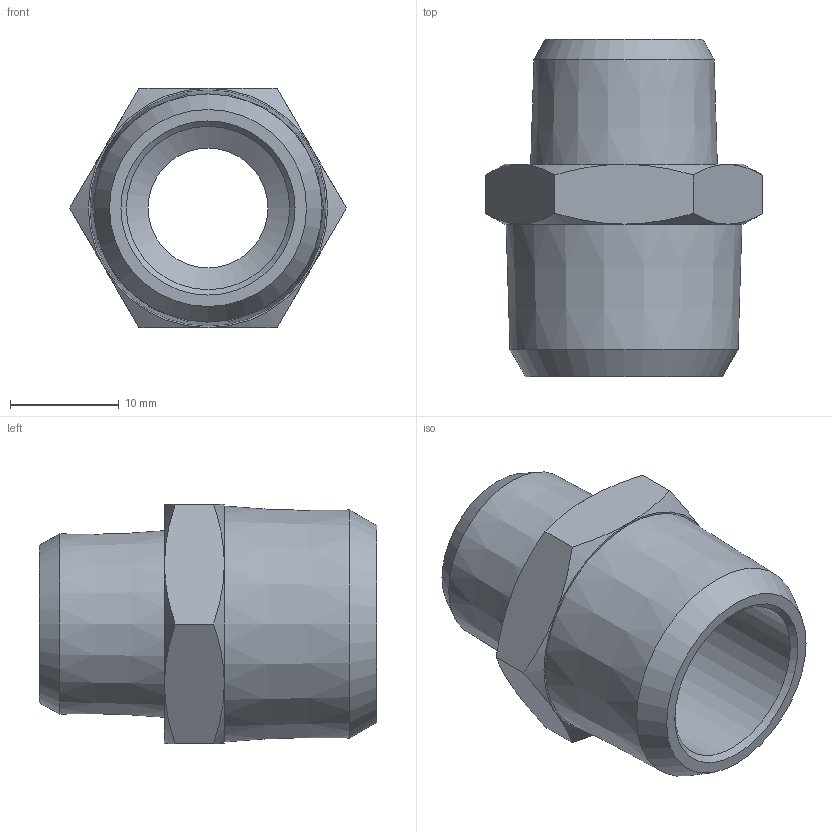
import cadquery as cq
import math

large_length = 14.0
hex_length = 5.5
small_length = 11.5
total_length = large_length + hex_length + small_length
hex_start = large_length
hex_end = large_length + hex_length

hex_sides = 6
across_flats = 22.0
across_corners = across_flats / math.cos(math.pi / hex_sides)
hex_chamfer_angle = 30.0
hex_face_diameter = across_flats

taper = 1 / 16
large_diameter = 20.955
large_tip_diameter = 18.1
large_tip_length = 2.5
small_diameter = 16.55
small_tip_diameter = 14.5
small_tip_length = 1.9

large_bore_diameter = 15.0
small_bore_diameter = 11.0
bore_mouth_diameter = 16.0
bore_mouth_depth = 0.5
large_bore_depth = 14.0
bore_cone_angle = 60.0


def revolve_profile(points):
    """Revolve (diameter, y) points, closed along the Y axis."""
    outline = [(diameter / 2, y) for diameter, y in points]
    first_y = outline[0][1]
    last_y = outline[-1][1]
    return (
        cq.Workplane("XY")
        .polyline([(0, first_y), *outline, (0, last_y)])
        .close()
        .revolve(360, (0, 0, 0), (0, 1, 0))
    )


def make_large_shank():
    root_diameter = large_diameter + taper * (large_length - large_tip_length)
    return revolve_profile([
        (large_tip_diameter, 0),
        (large_diameter, large_tip_length),
        (root_diameter, hex_start),
    ])


def make_small_shank():
    root_diameter = small_diameter + taper * (small_length - small_tip_length)
    return revolve_profile([
        (root_diameter, hex_end),
        (small_diameter, total_length - small_tip_length),
        (small_tip_diameter, total_length),
    ])


def make_hexagon():
    prism = (
        cq.Workplane("XZ", origin=(0, hex_start, 0))
        .polygon(hex_sides, across_corners)
        .extrude(-hex_length)
    )
    corner_depth = (across_corners - hex_face_diameter) / 2
    chamfer_rise = corner_depth * math.tan(math.radians(hex_chamfer_angle))
    chamfer_limit = revolve_profile([
        (hex_face_diameter, hex_start),
        (across_corners, hex_start + chamfer_rise),
        (across_corners, hex_end - chamfer_rise),
        (hex_face_diameter, hex_end),
    ])
    return prism.intersect(chamfer_limit)


def make_bore():
    bore_step = (large_bore_diameter - small_bore_diameter) / 2
    cone_length = bore_step / math.tan(math.radians(bore_cone_angle))
    return revolve_profile([
        (bore_mouth_diameter, 0),
        (large_bore_diameter, bore_mouth_depth),
        (large_bore_diameter, large_bore_depth),
        (small_bore_diameter, large_bore_depth + cone_length),
        (small_bore_diameter, total_length),
    ])


result = make_large_shank().union(make_hexagon()).union(make_small_shank()).cut(make_bore())